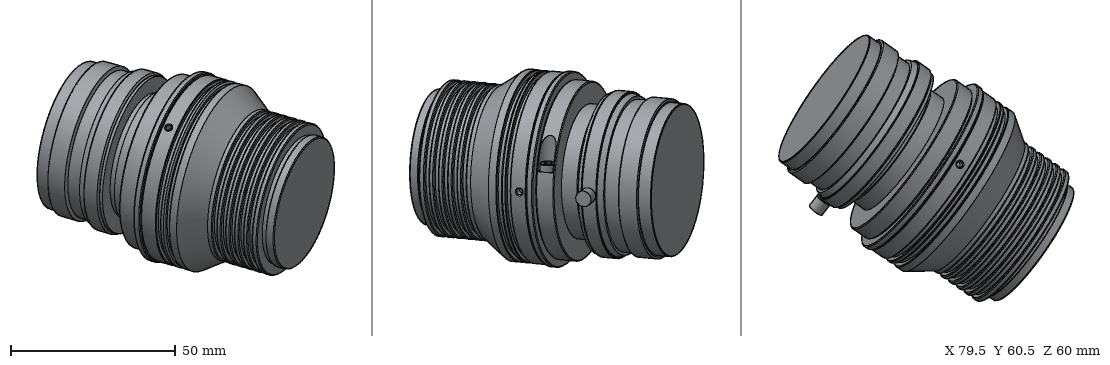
import cadquery as cq

TOTAL_LENGTH = 79.5
TOTAL_WIDTH = 60.5
FLANGE_DIAMETER = 60.0
FLANGE_RADIUS = FLANGE_DIAMETER / 2
EDGE_CHAMFER = 0.2

RIM_RADIUS = 23.45
BAND_START = 4.1
BAND_END = 10.65
BAND_RADIUS = 24.55
BAND_FRONT_BEVEL_LENGTH = 0.2
BAND_FRONT_BEVEL_RADIUS = 23.9
BAND_REAR_BEVEL_LENGTH = 0.55
CONE_START = 15.1
CONE_START_RADIUS = 24.4
CONE_END_RADIUS = 25.0
IRIS_START = 17.0
IRIS_END = 22.2
IRIS_RADIUS = 25.6
IRIS_REAR_CHAMFER = 0.55
IRIS_SKIRT_RADIUS = 24.9
IRIS_SKIRT_END = 23.1
RELIEF_END = 25.1
RELIEF_RADIUS = 19.6
NECK_RADIUS = 20.75

KNOB_X = 19.5
KNOB_RADIUS = 2.5
KNOB_BOTTOM = 26.4
KNOB_TOP = TOTAL_WIDTH - FLANGE_RADIUS
STEM_RADIUS = 1.35
STEM_BOTTOM = 24.6

CLAMP_START = 30.1
CLAMP_END = 36.15
CLAMP_RADIUS = 27.6
CLAMP_FRONT_CHAMFER = 0.3
CLAMP_REAR_CHAMFER = 0.5

SCREW_X = (CLAMP_START + CLAMP_END) / 2
SCREW_Y = 24.5
SCREW_RADIUS = 2.5
SCREW_SEAT = 6.2
SCREW_TOP = 8.6
SCREW_CHAMFER = 0.2
SOCKET_ACROSS_CORNERS = 2.55
SOCKET_SIDES = 6
SOCKET_DEPTH = 1.2

FLANGE_END = 38.3
FLANGE_CHAMFER = 0.3

HEAD_RADIUS = 29.5
HEAD_SHOULDER_RADIUS = 28.9
HEAD_GROOVE_RADIUS = 28.0
HEAD_FRONT_LAND_START = 38.5
HEAD_FRONT_LAND_END = 43.6
HEAD_MIDDLE_LAND_START = 45.05
HEAD_MIDDLE_LAND_END = 46.65
HEAD_REAR_LAND_START = 48.0
HEAD_END = 50.6
MIDDLE_LAND_REAR_CHAMFER = 0.55
GRIP_START = 58.4
GRIP_RADIUS = 24.0
GRIP_GROOVE_RADIUS = 22.5
RIB_COUNT = 6
LAST_RIB_START = 73.4
RIB_PITCH = (LAST_RIB_START - GRIP_START) / (RIB_COUNT - 1)
RIB_WIDTH = 1.6
RIB_CHAMFER = 0.3
GRIP_END = 75.25
TAIL_GROOVE_END = 76.8
TAIL_GROOVE_RADIUS = 20.4
TAIL_RADIUS = 20.9
TAIL_CHAMFER = 0.3

SET_HOLE_X = 40.6
SET_HOLE_RADIUS = 0.95
SET_HOLE_MOUTH_RADIUS = 1.3
SET_HOLE_DEPTH = 2.8
SET_HOLE_COUNT = 3


def cone(start, end, start_radius, end_radius):
    """Solid cone frustum on the X axis."""
    outline = [(start, 0), (start, start_radius), (end, end_radius), (end, 0)]
    return cq.Workplane("XY").polyline(outline).close().revolve(360, (0, 0), (1, 0))


def collar(start, end, radius, front_chamfer=0.0, rear_chamfer=0.0):
    """Solid disc on the X axis, optionally chamfered at its front and rear edges."""
    disc = cone(start, end, radius, radius)
    if front_chamfer:
        disc = disc.faces("<X").chamfer(front_chamfer)
    if rear_chamfer:
        disc = disc.faces(">X").chamfer(rear_chamfer)
    return disc


def post(x, bottom, top, radius):
    """Round post along +Y, centred on Z = 0."""
    axis = cq.Vector(0, 1, 0)
    return cq.Workplane(cq.Solid.makeCylinder(radius, top - bottom, cq.Vector(x, bottom, 0), axis))


def make_barrel():
    band_front = BAND_START + BAND_FRONT_BEVEL_LENGTH
    band_rear = BAND_END - BAND_REAR_BEVEL_LENGTH
    barrel = collar(0, BAND_START, RIM_RADIUS, front_chamfer=EDGE_CHAMFER)
    sections = [
        cone(BAND_START, band_front, BAND_FRONT_BEVEL_RADIUS, BAND_RADIUS),
        collar(band_front, band_rear, BAND_RADIUS),
        cone(band_rear, BAND_END, BAND_RADIUS, RIM_RADIUS),
        collar(BAND_END, CONE_START, RIM_RADIUS),
        cone(CONE_START, IRIS_START, CONE_START_RADIUS, CONE_END_RADIUS),
        collar(IRIS_START, IRIS_END, IRIS_RADIUS, EDGE_CHAMFER, IRIS_REAR_CHAMFER),
        collar(IRIS_END, IRIS_SKIRT_END, IRIS_SKIRT_RADIUS),
        collar(IRIS_SKIRT_END, RELIEF_END, RELIEF_RADIUS),
        collar(RELIEF_END, CLAMP_END, NECK_RADIUS),
    ]
    for section in sections:
        barrel = barrel.union(section)
    stem_hole = post(KNOB_X, STEM_BOTTOM, KNOB_TOP, STEM_RADIUS)
    return barrel.cut(stem_hole)


def make_knob():
    stem = post(KNOB_X, STEM_BOTTOM, KNOB_BOTTOM, STEM_RADIUS)
    return stem.union(post(KNOB_X, KNOB_BOTTOM, KNOB_TOP, KNOB_RADIUS))


def make_clamp_ring():
    ring = collar(CLAMP_START, CLAMP_END, CLAMP_RADIUS, CLAMP_FRONT_CHAMFER, CLAMP_REAR_CHAMFER)
    ring = ring.cut(collar(CLAMP_START, CLAMP_END, NECK_RADIUS))
    seat = cq.Workplane("XY", origin=(SCREW_X, SCREW_Y, SCREW_SEAT))
    slot_end = seat.circle(SCREW_RADIUS).extrude(CLAMP_RADIUS)
    slot_mouth = seat.rect(2 * SCREW_RADIUS, CLAMP_RADIUS).extrude(CLAMP_RADIUS)
    slot_mouth = slot_mouth.translate((0, CLAMP_RADIUS / 2, 0))
    return ring.cut(slot_end).cut(slot_mouth)


def make_clamp_screw():
    seat = cq.Workplane("XY", origin=(SCREW_X, SCREW_Y, SCREW_SEAT))
    head = seat.circle(SCREW_RADIUS).extrude(SCREW_TOP - SCREW_SEAT)
    head = head.faces(">Z").chamfer(SCREW_CHAMFER)
    top = cq.Workplane("XY", origin=(SCREW_X, SCREW_Y, SCREW_TOP))
    socket = top.polygon(SOCKET_SIDES, SOCKET_ACROSS_CORNERS).extrude(-SOCKET_DEPTH)
    return head.cut(socket)


def make_flange_ring():
    return collar(CLAMP_END, FLANGE_END, FLANGE_RADIUS, FLANGE_CHAMFER, FLANGE_CHAMFER)


def cut_set_holes(tube):
    """Blind countersunk radial holes spaced evenly around the axis, the first one along +Y."""
    mouth_depth = SET_HOLE_MOUTH_RADIUS - SET_HOLE_RADIUS
    mouth = cq.Solid.makeCone(
        SET_HOLE_RADIUS,
        SET_HOLE_MOUTH_RADIUS,
        mouth_depth,
        cq.Vector(SET_HOLE_X, HEAD_RADIUS - mouth_depth, 0),
        cq.Vector(0, 1, 0),
    )
    bore = post(SET_HOLE_X, HEAD_RADIUS - SET_HOLE_DEPTH, HEAD_RADIUS, SET_HOLE_RADIUS)
    first_hole = bore.union(cq.Workplane(mouth))
    for index in range(SET_HOLE_COUNT):
        hole = first_hole.rotate((0, 0, 0), (1, 0, 0), index * 360 / SET_HOLE_COUNT)
        tube = tube.cut(hole)
    return tube


def make_rear_tube():
    tube = collar(FLANGE_END, HEAD_FRONT_LAND_START, HEAD_SHOULDER_RADIUS)
    tube = tube.union(collar(HEAD_FRONT_LAND_START, HEAD_END, HEAD_GROOVE_RADIUS))
    lands = [
        (HEAD_FRONT_LAND_START, HEAD_FRONT_LAND_END, EDGE_CHAMFER, EDGE_CHAMFER),
        (HEAD_MIDDLE_LAND_START, HEAD_MIDDLE_LAND_END, EDGE_CHAMFER, MIDDLE_LAND_REAR_CHAMFER),
        (HEAD_REAR_LAND_START, HEAD_END, EDGE_CHAMFER, 0),
    ]
    for start, end, front_chamfer, rear_chamfer in lands:
        tube = tube.union(collar(start, end, HEAD_RADIUS, front_chamfer, rear_chamfer))
    tube = tube.union(cone(HEAD_END, GRIP_START, HEAD_RADIUS, GRIP_RADIUS))
    tube = tube.union(collar(GRIP_START, GRIP_END, GRIP_GROOVE_RADIUS))
    for index in range(RIB_COUNT):
        start = GRIP_START + index * RIB_PITCH
        is_first = index == 0
        is_last = index == RIB_COUNT - 1
        end = GRIP_END if is_last else start + RIB_WIDTH
        front_chamfer = 0 if is_first else RIB_CHAMFER
        tube = tube.union(collar(start, end, GRIP_RADIUS, front_chamfer, RIB_CHAMFER))
    tube = tube.union(collar(GRIP_END, TAIL_GROOVE_END, TAIL_GROOVE_RADIUS))
    tail = collar(TAIL_GROOVE_END, TOTAL_LENGTH, TAIL_RADIUS, rear_chamfer=TAIL_CHAMFER)
    return cut_set_holes(tube.union(tail))


barrel = make_barrel()
knob = make_knob()
clamp_ring = make_clamp_ring()
clamp_screw = make_clamp_screw()
flange_ring = make_flange_ring()
rear_tube = make_rear_tube()

result = cq.Compound.makeCompound(
    [
        barrel.val(),
        knob.val(),
        clamp_ring.val(),
        clamp_screw.val(),
        flange_ring.val(),
        rear_tube.val(),
    ]
)